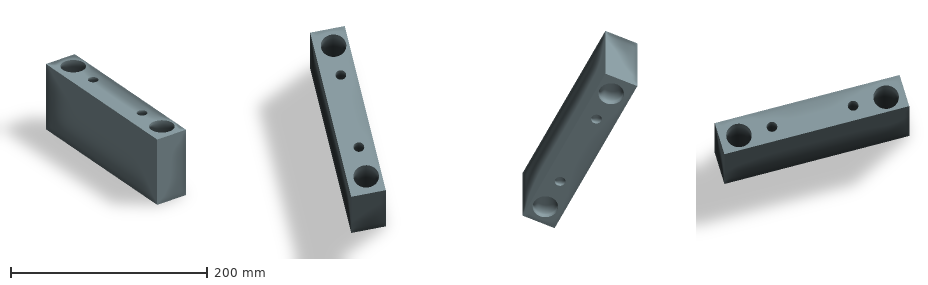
import cadquery as cq

length = 196.0
width = 36.0
height = 76.0

large_hole_diameter = 26.0
large_hole_spacing = 156.0
small_hole_diameter = 11.0
small_hole_spacing = 86.0
hole_row_offset = 2.0


def drill_pair(body, diameter, spacing):
    """Drill two through holes, placed symmetrically on the hole row."""
    centres = [(side * spacing / 2, hole_row_offset) for side in (-1, 1)]
    return (
        body.faces(">Z")
        .workplane(origin=(0, 0, height))
        .pushPoints(centres)
        .hole(diameter)
    )


block = cq.Workplane("XY").box(length, width, height, centered=(True, True, False))
block = drill_pair(block, large_hole_diameter, large_hole_spacing)
result = drill_pair(block, small_hole_diameter, small_hole_spacing)